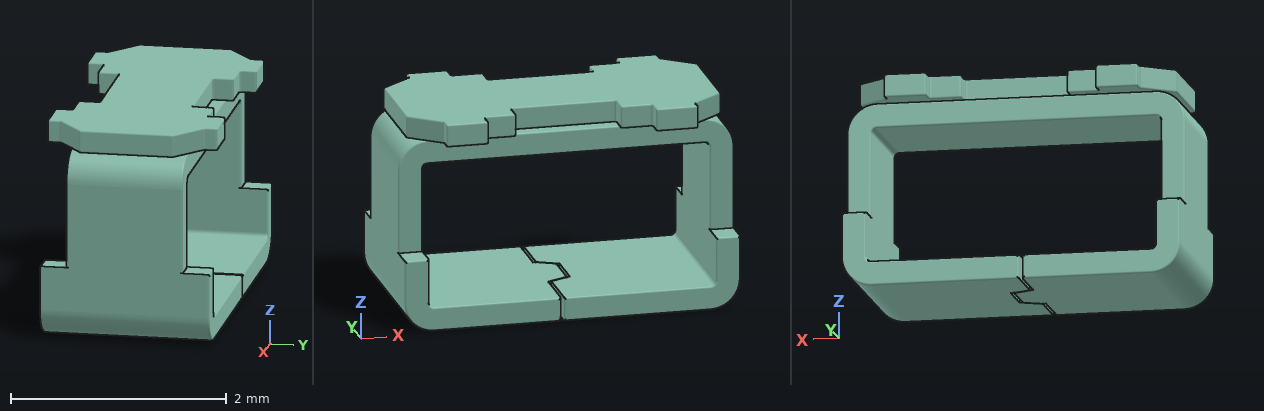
import cadquery as cq

length = 3.2
depth = 1.6
height = 2.0
edge_round = 0.02

strip_thickness = 0.23
band_height = 1.78
inner_bend_radius = 0.05
outer_bend_radius = inner_bend_radius + strip_thickness
shoulder_height = 0.7
neck_depth = 1.1

seam_gap = 0.03
seam_left = -0.11
tongue_reach = 0.2
tongue_tip_half_width = 0.2
tongue_root_half_width = 0.3

plate_length = 3.0
plate_thickness = height - band_height
end_half_width = 0.44
corner_x = 1.2
corner_half_width = 0.68
notch_half_length = 0.8
notch_half_width = 0.64
deep_notch_half_length = 0.5
deep_notch_half_width = 0.44


def rounded_bar(bar_length, bar_height, radius):
    """Bar along Y, centred in X and Y, with its base at Z = 0 and its long edges rounded."""
    bar = cq.Workplane("XY").box(bar_length, depth, bar_height, centered=(True, True, False))
    return bar.edges("|Y").fillet(radius)


def seam_cutter():
    """Gap of constant X width that follows the interlocking tongue through the floor."""
    tip = seam_left + tongue_reach
    left_side = [
        (seam_left, -depth / 2),
        (seam_left, -tongue_root_half_width),
        (tip, -tongue_tip_half_width),
        (tip, tongue_tip_half_width),
        (seam_left, tongue_root_half_width),
        (seam_left, depth / 2),
    ]
    right_side = [(x + seam_gap, y) for x, y in reversed(left_side)]
    return cq.Workplane("XY").polyline(left_side + right_side).close().extrude(strip_thickness)


def is_rim_edge(edge):
    """True for the edges of the band's flat Y faces, except where the neck meets the shoulders."""
    box = edge.BoundingBox()
    tolerance = 1e-4
    if box.ylen > tolerance:
        return False
    on_neck = abs(abs(box.center.y) - neck_depth / 2) < tolerance
    on_end = abs(abs(box.center.y) - depth / 2) < tolerance
    at_shoulder = abs(box.zmax - shoulder_height) < tolerance and box.zlen < tolerance
    return on_end or (on_neck and not at_shoulder)


def make_band():
    opening = rounded_bar(
        length - 2 * strip_thickness, band_height - 2 * strip_thickness, inner_bend_radius
    ).translate((0, 0, strip_thickness))
    band = rounded_bar(length, band_height, outer_bend_radius).cut(opening)

    relief_depth = (depth - neck_depth) / 2
    relief_height = band_height - shoulder_height
    for side in (-1, 1):
        relief = cq.Workplane("XY").box(length, relief_depth, relief_height).translate(
            (0, side * (depth - relief_depth) / 2, shoulder_height + relief_height / 2)
        )
        band = band.cut(relief)

    band = band.cut(seam_cutter())
    rim = band.edges().filter(is_rim_edge)
    return rim.fillet(edge_round)


def make_plate():
    quarter = [
        (plate_length / 2, end_half_width),
        (corner_x, corner_half_width),
        (corner_x, depth / 2),
        (notch_half_length, depth / 2),
        (notch_half_length, notch_half_width),
        (deep_notch_half_length, notch_half_width),
        (deep_notch_half_length, deep_notch_half_width),
    ]
    back_half = quarter + [(-x, y) for x, y in reversed(quarter)]
    front_half = [(-x, -y) for x, y in back_half]
    plate = cq.Workplane("XY").workplane(offset=band_height)
    plate = plate.polyline(back_half + front_half).close().extrude(plate_thickness)
    plate = plate.edges("|Z").fillet(edge_round)
    return plate.faces("<Z or >Z").edges().fillet(edge_round)


band = make_band()
plate = make_plate()

result = cq.Compound.makeCompound([band.val(), plate.val()])